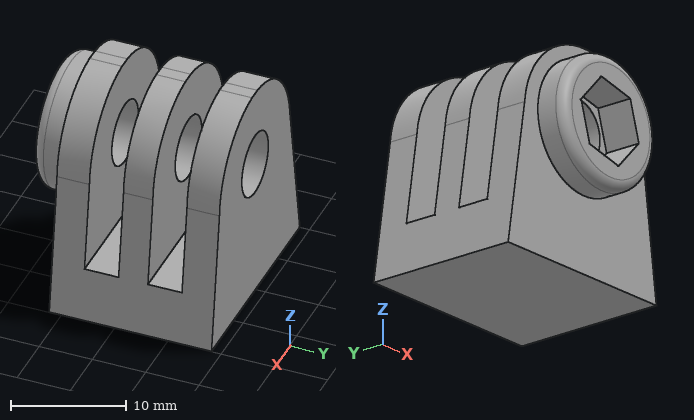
import cadquery as cq
import math

BASE_WIDTH = 20.0
BODY_HEIGHT = 21.0

OUTER_FIN = 3.05
MIDDLE_FIN = 2.75
SLOT_WIDTH = 3.2
SLOT_FLOOR = 5.0
BODY_LENGTH = 2 * OUTER_FIN + MIDDLE_FIN + 2 * SLOT_WIDTH
FRONT_Y = -BODY_LENGTH / 2
BACK_Y = BODY_LENGTH / 2

CROWN_RADIUS = 8.0
CROWN_FLAT = 1.2
CROWN_X = 0.2
LEFT_SHOULDER_Z = 13.74
RIGHT_SHOULDER_Z = 13.3
CROWN_Z = BODY_HEIGHT - math.sqrt(CROWN_RADIUS**2 - (CROWN_FLAT / 2) ** 2)

BOSS_DIAMETER = 12.5
BOSS_LENGTH = 3.0
BOSS_FILLET = 1.0
BOSS_X = 0.25
BOSS_Z = 13.55

BOLT_X = 0.15
BOLT_Z = 13.48
BOLT_HOLE_DIAMETER = 6.0
SOCKET_CORNER_DIAMETER = 8.0
SOCKET_DEPTH = 3.65
SOCKET_TURN = -13.2

BOSS_FACE_Y = FRONT_Y - BOSS_LENGTH


def section_at(y):
    """XZ workplane at the given Y; extruding by a negative length runs toward +Y."""
    return cq.Workplane("XZ", origin=(0, y, 0))


def crown_point(side, z):
    """Point of the crown circle at height z; side is -1 for left, +1 for right."""
    return (CROWN_X + side * math.sqrt(CROWN_RADIUS**2 - (z - CROWN_Z) ** 2), z)


def make_body():
    middle_z = CROWN_Z + CROWN_RADIUS * math.sin(math.pi / 4)
    flat_left = (CROWN_X - CROWN_FLAT / 2, BODY_HEIGHT)
    flat_right = (CROWN_X + CROWN_FLAT / 2, BODY_HEIGHT)
    return (
        section_at(FRONT_Y)
        .moveTo(-BASE_WIDTH / 2, 0)
        .lineTo(*crown_point(-1, LEFT_SHOULDER_Z))
        .threePointArc(crown_point(-1, middle_z), flat_left)
        .lineTo(*flat_right)
        .threePointArc(crown_point(1, middle_z), crown_point(1, RIGHT_SHOULDER_Z))
        .lineTo(BASE_WIDTH / 2, 0)
        .close()
        .extrude(-BODY_LENGTH)
    )


def make_slot(center_y):
    return cq.Workplane("XY", origin=(0, center_y, SLOT_FLOOR)).box(
        BASE_WIDTH, SLOT_WIDTH, BODY_HEIGHT, centered=(True, True, False)
    )


def make_boss():
    return (
        section_at(BOSS_FACE_Y)
        .center(BOSS_X, BOSS_Z)
        .circle(BOSS_DIAMETER / 2)
        .extrude(-BOSS_LENGTH)
        .faces("<Y")
        .edges()
        .fillet(BOSS_FILLET)
    )


def make_bolt_hole():
    return (
        section_at(BOSS_FACE_Y)
        .center(BOLT_X, BOLT_Z)
        .circle(BOLT_HOLE_DIAMETER / 2)
        .extrude(BOSS_FACE_Y - BACK_Y)
    )


def make_hex_socket():
    return (
        section_at(BOSS_FACE_Y)
        .center(BOLT_X, BOLT_Z)
        .transformed(rotate=(0, 0, SOCKET_TURN))
        .polygon(6, SOCKET_CORNER_DIAMETER)
        .extrude(-SOCKET_DEPTH)
    )


result = make_body().union(make_boss())
slot_offset = (MIDDLE_FIN + SLOT_WIDTH) / 2
for slot_y in (-slot_offset, slot_offset):
    result = result.cut(make_slot(slot_y))
result = result.cut(make_bolt_hole()).cut(make_hex_socket())